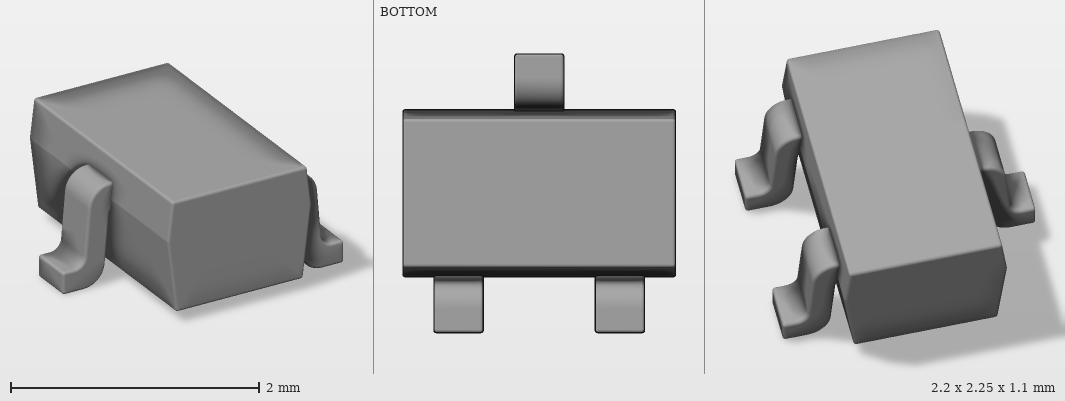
import cadquery as cq
import math

body_length = 2.2
body_width = 1.35
body_height = 1.0
standoff = 0.1
parting_height = 0.75
draft_angle = 7.0

lead_span = 2.25
lead_width = 0.4
lead_thickness = 0.2
lead_top = 0.9
lead_pitch = 1.3
foot_top_length = 0.2
leg_lean_angle = 5.0
inner_bend_radius = 0.1
outer_bend_radius = 0.2
lead_embed = 0.2

edge_radius = 0.025


def make_body():
    bottom = standoff
    top = standoff + body_height
    half_width = body_width / 2
    draft = math.tan(math.radians(draft_angle))
    half_top = half_width - (top - parting_height) * draft
    half_bottom = half_width - (parting_height - bottom) * draft
    section = [
        (-half_bottom, bottom),
        (half_bottom, bottom),
        (half_width, parting_height),
        (half_top, top),
        (-half_top, top),
        (-half_width, parting_height),
    ]
    block = cq.Workplane("YZ").polyline(section).close().extrude(body_length / 2, both=True)
    return block.edges().fillet(edge_radius)


def make_lead():
    """Lead centred on X = 0 that leaves the body toward +Y."""
    lean = math.radians(leg_lean_angle)
    tip = lead_span / 2
    root = body_width / 2 - lead_embed
    shoulder_bottom = lead_top - lead_thickness

    def leg_outer(z):
        return tip - foot_top_length - (z - lead_thickness) * math.tan(lean)

    def leg_inner(z):
        return leg_outer(z) - lead_thickness / math.cos(lean)

    outer_shoulder = (leg_outer(lead_top), lead_top)
    inner_shoulder = (leg_inner(shoulder_bottom), shoulder_bottom)
    heel = (leg_inner(0), 0)
    instep = (leg_outer(lead_thickness), lead_thickness)
    profile = [
        (root, lead_top),
        outer_shoulder,
        instep,
        (tip, lead_thickness),
        (tip, 0),
        heel,
        inner_shoulder,
        (root, shoulder_bottom),
    ]
    lead = cq.Workplane("YZ").polyline(profile).close().extrude(lead_width / 2, both=True)

    def bend(solid, corners, radius):
        for y, z in corners:
            solid = solid.edges(cq.selectors.NearestToPointSelector((0, y, z))).fillet(radius)
        return solid

    lead = bend(lead, [outer_shoulder, heel], outer_bend_radius)
    lead = bend(lead, [inner_shoulder, instep], inner_bend_radius)

    return lead.faces("<X or >X or >Y").edges().fillet(edge_radius)


back_lead = make_lead()
front_lead = back_lead.rotate((0, 0, 0), (0, 0, 1), 180)

result = make_body().union(front_lead)
for x in (-lead_pitch / 2, lead_pitch / 2):
    result = result.union(back_lead.translate((x, 0, 0)))